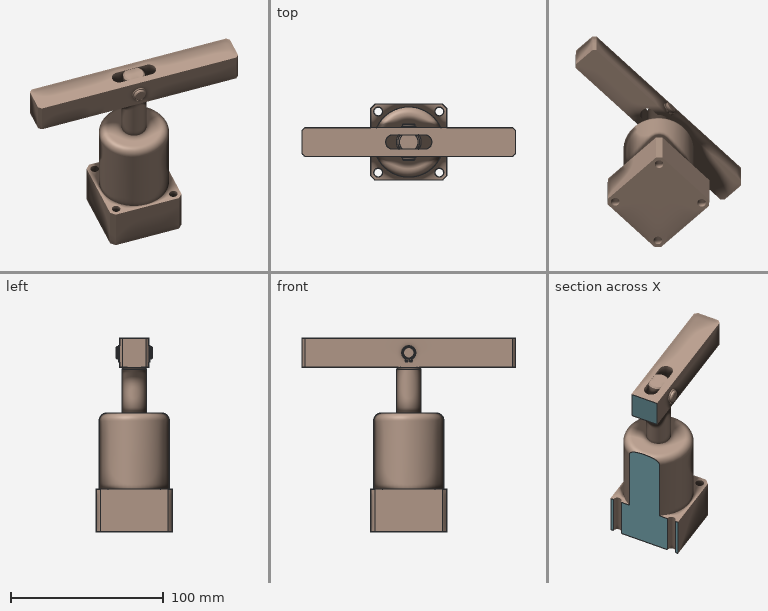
import cadquery as cq

foot_side = 50.0
foot_height = 28.0
foot_corner_chamfer = 3.0
bolt_spacing = 40.0
bolt_hole_diameter = 5.6
barrel_diameter = 46.0
barrel_top = 78.0
barrel_fillet = 5.0

overall_height = 127.0
bar_length = 140.0
bar_side = 19.0
bar_corner_chamfer = 2.0
slot_length = 30.2
slot_width = 9.4
bar_bottom = overall_height - bar_side
pivot_height = bar_bottom + bar_side / 2

rod_diameter = 16.2
rod_chamfer = 1.0
shoulder_gap = 0.4
shoulder_height = bar_bottom - shoulder_gap
tongue_recess = 0.3
tongue_top = overall_height - tongue_recess

pin_diameter = 8.0
pin_length = 24.0
pin_chamfer = 0.5
groove_diameter = 7.5
groove_width = 1.0

ring_diameter = 9.2
ring_thickness = 0.7
ring_gap = 0.8
ear_diameter = 2.0
ear_hole_diameter = 0.7
ear_offset = 1.4
ear_drop = 5.2


def cylinder_along_y(diameter, start, length):
    """Cylinder about the pivot axis, running from Y = start toward +Y."""
    pivot_plane = cq.Plane(origin=(0, start, pivot_height), xDir=(1, 0, 0), normal=(0, 1, 0))
    return cq.Workplane(pivot_plane).circle(diameter / 2).extrude(length)


def bolt_holes():
    return (
        cq.Workplane("XY")
        .rect(bolt_spacing, bolt_spacing, forConstruction=True)
        .vertices()
        .circle(bolt_hole_diameter / 2)
        .extrude(foot_height)
    )


def make_housing():
    foot = (
        cq.Workplane("XY")
        .rect(foot_side, foot_side)
        .extrude(foot_height)
        .edges("|Z")
        .chamfer(foot_corner_chamfer)
    )
    barrel = (
        cq.Workplane("XY", origin=(0, 0, foot_height))
        .circle(barrel_diameter / 2)
        .extrude(barrel_top - foot_height)
        .faces(">Z")
        .edges()
        .fillet(barrel_fillet)
    )
    return foot.union(barrel).cut(bolt_holes())


def pin_hole():
    """Clearance-free hole for the pin across the full width of the bar."""
    return cylinder_along_y(pin_diameter, -bar_side / 2, bar_side)


def make_bar():
    bar = (
        cq.Workplane("XY", origin=(0, 0, bar_bottom))
        .rect(bar_length, bar_side)
        .extrude(bar_side)
        .edges("|Z")
        .chamfer(bar_corner_chamfer)
    )
    slot = cq.Workplane("XY", origin=(0, 0, bar_bottom)).slot2D(slot_length, slot_width).extrude(bar_side)
    return bar.cut(slot).cut(pin_hole())


def make_rod():
    shank = (
        cq.Workplane("XY", origin=(0, 0, barrel_top))
        .circle(rod_diameter / 2)
        .extrude(shoulder_height - barrel_top)
        .faces(">Z")
        .chamfer(rod_chamfer)
    )
    neck_diameter = rod_diameter - 2 * rod_chamfer
    neck = (
        cq.Workplane("XY", origin=(0, 0, shoulder_height))
        .circle(neck_diameter / 2)
        .extrude(tongue_top - shoulder_height)
        .faces(">Z")
        .chamfer(rod_chamfer)
    )
    flat_block = (
        cq.Workplane("XY", origin=(0, 0, shoulder_height))
        .rect(rod_diameter, slot_width)
        .extrude(tongue_top - shoulder_height)
    )
    return shank.union(neck.intersect(flat_block)).cut(pin_hole())


def make_pin():
    pin = cylinder_along_y(pin_diameter, -pin_length / 2, pin_length).faces("<Y or >Y").chamfer(pin_chamfer)
    for start in (bar_side / 2, -bar_side / 2 - groove_width):
        groove = cylinder_along_y(pin_diameter, start, groove_width)
        core = cylinder_along_y(groove_diameter, start, groove_width)
        pin = pin.cut(groove.cut(core))
    return pin


def make_ring(start):
    """Retaining ring that occupies Y = start to start + ring_thickness."""
    face = cq.Workplane(cq.Plane(origin=(0, start, pivot_height), xDir=(-1, 0, 0), normal=(0, 1, 0)))
    ears = [(-ear_offset, -ear_drop), (ear_offset, -ear_drop)]
    ring = face.circle(ring_diameter / 2).extrude(ring_thickness)
    ring = ring.union(face.pushPoints(ears).circle(ear_diameter / 2).extrude(ring_thickness))
    gap = face.center(0, -ear_drop).rect(ring_gap, ring_diameter).extrude(ring_thickness)
    bore = cylinder_along_y(groove_diameter, start, ring_thickness)
    ear_holes = face.pushPoints(ears).circle(ear_hole_diameter / 2).extrude(ring_thickness)
    return ring.cut(bore).cut(gap).cut(ear_holes)


housing = make_housing()
bar = make_bar()
rod = make_rod()
pin = make_pin()
rings = [make_ring(start) for start in (bar_side / 2, -bar_side / 2 - ring_thickness)]

result = cq.Compound.makeCompound(
    [housing.val(), bar.val(), rod.val(), pin.val(), *[ring.val() for ring in rings]]
)